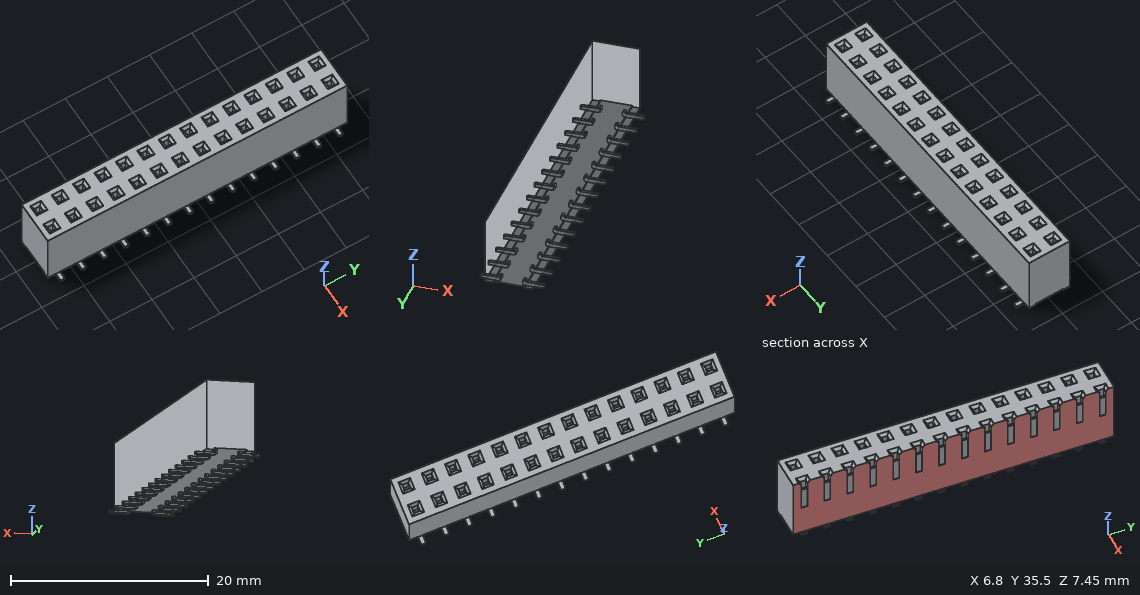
import cadquery as cq

cells_per_row = 14
housing_length = 35.55
pitch = housing_length / cells_per_row
housing_width = 2 * pitch
total_height = 7.45

rail_bottom = 0.32
recess_bottom = 0.45
rail_width = 0.85

mouth_size = 1.28
well_size = 0.65
mouth_depth = 0.32
well_depth = 3.55

overall_width = 6.8
strip_thickness = 0.2
strip_width = well_size
bend_radius = 0.3
tail_width = 0.55
tip_bow = 0.1
tail_root_x = housing_width / 2
stem_depth = 1.05
stem_top = total_height - stem_depth

row_x = pitch / 2
cell_centres_y = [(i - (cells_per_row - 1) / 2) * pitch for i in range(cells_per_row)]
socket_centres = [(side * row_x, y) for side in (-1, 1) for y in cell_centres_y]


def make_housing():
    block = cq.Workplane("XY").workplane(offset=rail_bottom).rect(housing_width, housing_length)
    block = block.extrude(total_height - rail_bottom)
    recess = cq.Workplane("XY").box(
        housing_width - 2 * rail_width, housing_length, recess_bottom, centered=(True, True, False)
    )
    return block.cut(recess)


def make_sockets():
    top = cq.Workplane("XY").workplane(offset=total_height)
    mouths = (
        cq.Workplane("XY")
        .rect(mouth_size, mouth_size)
        .workplane(offset=-mouth_depth)
        .rect(well_size, well_size)
        .loft(ruled=True)
    )
    wells = cq.Workplane("XY").rect(well_size, well_size).extrude(-well_depth)
    socket = mouths.union(wells).val()
    return top.pushPoints(socket_centres).eachpoint(lambda place: socket.moved(place), combine=False)


def make_contact():
    """Contact of the +X row, centred on Y = 0, with its tail pointing to +X."""
    stem_inner = row_x - strip_thickness / 2
    stem_outer = row_x + strip_thickness / 2
    strip = (
        cq.Workplane("XZ", origin=(0, strip_width / 2, 0))
        .moveTo(tail_root_x, 0)
        .lineTo(tail_root_x, strip_thickness)
        .lineTo(stem_outer, strip_thickness)
        .lineTo(stem_outer, stem_top)
        .lineTo(stem_inner, stem_top)
        .lineTo(stem_inner, bend_radius)
        .radiusArc((stem_inner + bend_radius, 0), -bend_radius)
        .close()
        .extrude(strip_width)
    )
    tail_end = overall_width / 2
    half_width = tail_width / 2
    tail = (
        cq.Workplane("XY")
        .moveTo(tail_root_x, -half_width)
        .lineTo(tail_end - tip_bow, -half_width)
        .threePointArc((tail_end, 0), (tail_end - tip_bow, half_width))
        .lineTo(tail_root_x, half_width)
        .close()
        .extrude(strip_thickness)
    )
    return strip.union(tail)


result = make_housing().cut(make_sockets())
right_contact = make_contact()
contact_pair = [right_contact.val(), right_contact.mirror("YZ").val()]
for y in cell_centres_y:
    for contact in contact_pair:
        result = result.union(cq.Workplane(contact.translate(cq.Vector(0, y, 0))))